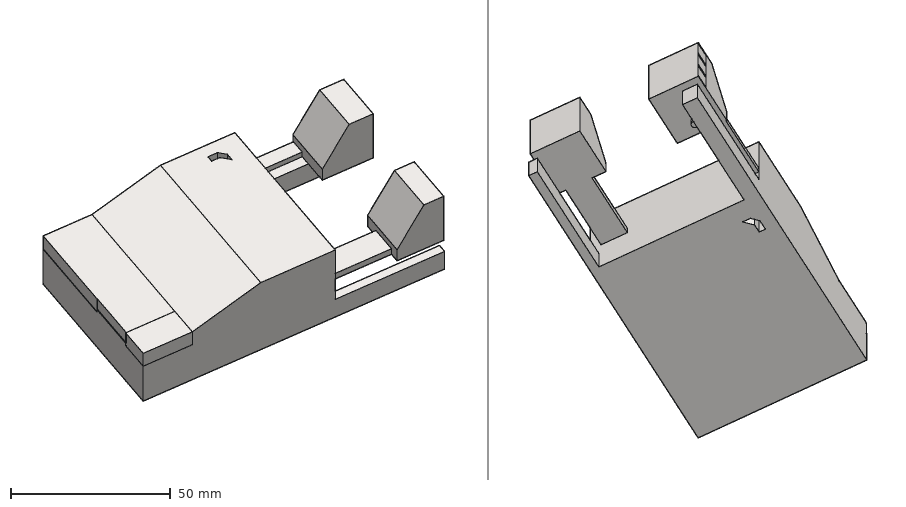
import cadquery as cq

length = 110.6
housing_width = 60.2
housing_back = 70.5
slope_back = 43.1
slope_front = 18.0
housing_height = 30.1
front_height = 21.5
left_rail_width = 5.3
right_rail_width = 3.1
rail_height = 8.0

tile_width = 10.5
tile_height = 5.8
tile_bottom = front_height - tile_height

left_panel_width = 32.4
left_panel_depth = 0.1
right_panel_width = housing_width - tile_width - left_panel_width
right_panel_height = 4.6
right_panel_depth = 0.2

slot_left = 4.6
slot_width = 2.2
slot_front = 57.7
slot_left_bend = 61.3
slot_right_bend = 60.7
slot_back = 63.5

slider_bottom = 12.4
block_width = 17.7
block_height = 19.8
block_slope_length = 9.8
block_nose_height = 5.0
left_block_length = 18.7
right_block_length = 17.1
left_block_x = -0.3
right_block_x = 41.9
left_arm_x = 0.0
left_arm_width = 5.3
left_arm_thickness = 2.1
right_arm_x = 46.9
right_arm_width = 9.4
right_arm_thickness = 2.5

pin_diameter = 2.3
pin_length = 2.2
pin_y = 96.7

recess_depth = 0.1
recess_length = 5.1
recess_height = 5.9
recess_pitch = 6.5
recess_count = 3
recess_margin = 0.4


def box(x, y, z, size_x, size_y, size_z):
    """Box with its lowest corner at (x, y, z)."""
    return cq.Workplane("XY").box(size_x, size_y, size_z, centered=False).translate((x, y, z))


def extrude_side_profile(points, x, width):
    """Closed outline of (y, z) points extruded along +X from x."""
    return cq.Workplane("YZ", origin=(x, 0, 0)).polyline(points).close().extrude(width)


def make_tile():
    tile_x = housing_width - tile_width
    return box(tile_x, 0, tile_bottom, tile_width, slope_front, tile_height)


def make_bent_slot():
    slot_right = slot_left + slot_width
    points = [
        (slot_left, slot_front),
        (slot_right, slot_front),
        (slot_right, slot_right_bend),
        (slot_right + slot_back - slot_right_bend, slot_back),
        (slot_left + slot_back - slot_left_bend, slot_back),
        (slot_left, slot_left_bend),
    ]
    return cq.Workplane("XY").polyline(points).close().extrude(housing_height)


def make_front_panels():
    left_panel = box(0, 0, tile_bottom, left_panel_width, left_panel_depth, tile_height)
    right_panel_z = front_height - right_panel_height
    right_panel = box(
        left_panel_width, 0, right_panel_z, right_panel_width, right_panel_depth, right_panel_height
    )
    return left_panel.union(right_panel)


def make_housing():
    profile = [
        (0, 0),
        (housing_back, 0),
        (housing_back, housing_height),
        (slope_back, housing_height),
        (slope_front, front_height),
        (0, front_height),
    ]
    body = extrude_side_profile(profile, 0, housing_width)
    left_rail = box(0, 0, 0, left_rail_width, length, rail_height)
    right_rail = box(housing_width - right_rail_width, 0, 0, right_rail_width, length, rail_height)
    body = body.union(left_rail).union(right_rail)
    return body.cut(make_bent_slot()).cut(make_front_panels()).cut(make_tile())


def make_slider(block_x, block_length, arm_x, arm_width, arm_thickness):
    block_front = length - block_length
    block_top = slider_bottom + block_height
    profile = [
        (length, slider_bottom),
        (length, block_top),
        (block_front + block_slope_length, block_top),
        (block_front, slider_bottom + block_nose_height),
        (block_front, slider_bottom),
    ]
    block = extrude_side_profile(profile, block_x, block_width)
    arm_length = block_front - housing_back
    arm = box(arm_x, housing_back, slider_bottom, arm_width, arm_length, arm_thickness)
    return block.union(arm)


def make_pin():
    pin_x = left_block_x + block_width / 2
    return (
        cq.Workplane("XY", origin=(pin_x, pin_y, slider_bottom - pin_length))
        .circle(pin_diameter / 2)
        .extrude(pin_length)
    )


def make_left_slider():
    slider = make_slider(
        left_block_x, left_block_length, left_arm_x, left_arm_width, left_arm_thickness
    ).union(make_pin())
    recess_y = length - recess_length
    for row in range(recess_count):
        recess_z = slider_bottom + recess_margin + row * recess_pitch
        recess = box(left_block_x, recess_y, recess_z, recess_depth, recess_length, recess_height)
        slider = slider.cut(recess)
    return slider


def make_right_slider():
    return make_slider(
        right_block_x, right_block_length, right_arm_x, right_arm_width, right_arm_thickness
    )


housing = make_housing()
tile = make_tile()
left_slider = make_left_slider()
right_slider = make_right_slider()

result = cq.Compound.makeCompound(
    [housing.val(), tile.val(), left_slider.val(), right_slider.val()]
)